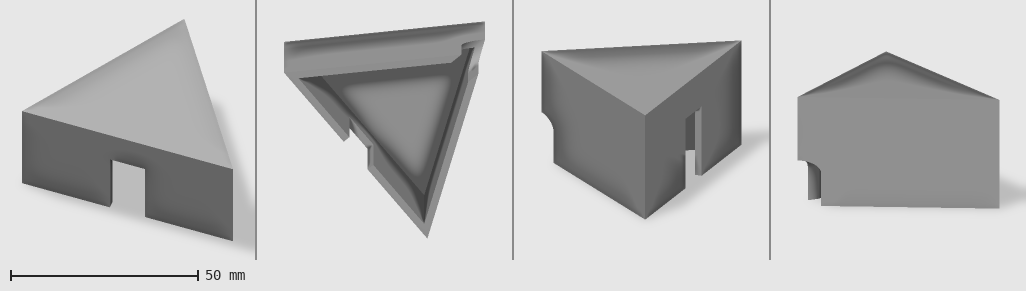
import cadquery as cq
import math

width = 60.0
depth = 45.0
height = 30.0

wall = 2.0

doorway_width = 10.0
doorway_height = 20.0

arch_width = 7.0
arch_radius = arch_width / 2
arch_height = 12.5
spring_height = arch_height - arch_radius


def triangular_prism(base, length, rise):
    """Isosceles prism with its base edge centred on the X axis and its apex toward +Y."""
    return (
        cq.Workplane("XY")
        .polyline([(-base / 2, 0), (base / 2, 0), (0, length)])
        .close()
        .extrude(rise)
    )


def cavity():
    """Similar prism inset by the wall thickness from the three sides and the top."""
    slanted_side = math.hypot(width / 2, depth)
    inradius = width * depth / (width + 2 * slanted_side)
    inset_scale = 1 - wall / inradius
    inner_prism = triangular_prism(width * inset_scale, depth * inset_scale, height - wall)
    return inner_prism.translate((0, wall, 0))


def doorway():
    """Rectangular cutter passing through the front wall only."""
    cutter_depth = 2 * wall
    return cq.Workplane("XY").box(
        doorway_width, cutter_depth, doorway_height, centered=(True, False, False)
    )


def rear_arch():
    """Straight-sided cutter with a semicircular top, running back through the rear corner."""
    return (
        cq.Workplane("XZ", origin=(0, wall, 0))
        .moveTo(-arch_radius, 0)
        .lineTo(-arch_radius, spring_height)
        .threePointArc((0, arch_height), (arch_radius, spring_height))
        .lineTo(arch_radius, 0)
        .close()
        .extrude(-depth)
    )


body = triangular_prism(width, depth, height)
result = body.cut(cavity()).cut(doorway()).cut(rear_arch())